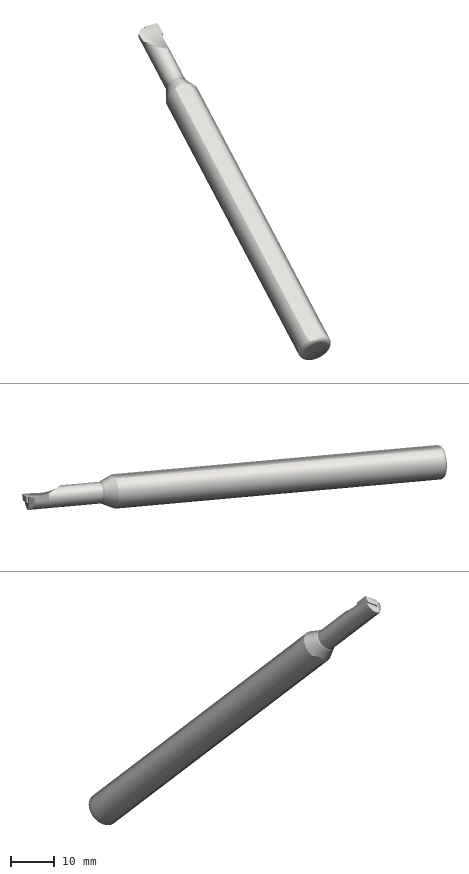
import cadquery as cq
import math


length = 100.0
shank_radius = 4.0
flat_height = 7.3
end_fillet = 1.2

neck_radius = 2.5
holder_start = 0.4
neck_end = 17.9
cone_start = 18.2
cone_start_radius = 2.7
shank_start = 21.1

head_end = 4.8
nose_chamfer = 1.0

rake_angle = 7.5
rake_height = 0.75
ramp_start = 3.0
ramp_radius = 6.5
ramp_yaw = 32.0
ramp_sweep = 60.0
cut_size = 20.0

insert_thickness = 1.5
insert_bottom = rake_height - insert_thickness
insert_outer_y = 2.9
insert_top_length = 3.3
insert_inner_length = 3.7
insert_front_y = -0.5
insert_inner_y = -0.9
insert_relief = 0.5


def lean(body):
    """Tilt a body about the bar axis by the rake angle."""
    return body.rotate((0, 0, 0), (1, 0, 0), -rake_angle)


def make_blank():
    """Turned neck, cone and shank with a rounded rear end."""
    rounding_mid = end_fillet * math.sqrt(0.5)
    return (
        cq.Workplane("XY")
        .moveTo(holder_start, 0)
        .lineTo(holder_start, neck_radius)
        .lineTo(neck_end, neck_radius)
        .lineTo(cone_start, cone_start_radius)
        .lineTo(shank_start, shank_radius)
        .lineTo(length - end_fillet, shank_radius)
        .threePointArc(
            (length - end_fillet + rounding_mid, shank_radius - end_fillet + rounding_mid),
            (length, shank_radius - end_fillet),
        )
        .lineTo(length, 0)
        .close()
        .revolve(360, (0, 0, 0), (1, 0, 0))
    )


def make_flats_envelope():
    """Slab whose top and bottom faces leave the shank flats."""
    return cq.Workplane("XY").box(2 * length, 2 * shank_radius, flat_height)


def make_head_side():
    """Block that squares the upper -Y side of the head."""
    return cq.Workplane("XY").box(
        head_end - holder_start, neck_radius, neck_radius, centered=False
    ).translate((holder_start, -neck_radius, 0))


def make_nose_cut():
    """45 degree prism that bevels the front -Y corner."""
    return (
        cq.Workplane("XY")
        .moveTo(holder_start, -neck_radius)
        .lineTo(holder_start + nose_chamfer, -neck_radius)
        .lineTo(holder_start, -neck_radius + nose_chamfer)
        .close()
        .extrude(neck_radius, both=True)
    )


def make_chip_cut():
    """Material above the flat chip face and the concave ramp behind it."""
    flat_end = ramp_start * math.cos(math.radians(ramp_yaw))

    def ramp_point(degrees):
        angle = math.radians(degrees)
        x = flat_end + ramp_radius * math.sin(angle)
        z = rake_height + ramp_radius * (1 - math.cos(angle))
        return x, z

    end_point = ramp_point(ramp_sweep)
    cut = (
        cq.Workplane("XZ")
        .moveTo(-cut_size, rake_height)
        .lineTo(flat_end, rake_height)
        .threePointArc(ramp_point(ramp_sweep / 2), end_point)
        .lineTo(-cut_size, end_point[1])
        .close()
        .extrude(cut_size, both=True)
        .rotate((0, 0, 0), (0, 0, 1), -ramp_yaw)
    )
    return lean(cut)


def make_plate(height):
    """Insert outline raised from the pocket floor, before the rake."""
    return (
        cq.Workplane("XY")
        .workplane(offset=insert_bottom)
        .polyline([
            (0, insert_outer_y),
            (insert_top_length, insert_outer_y),
            (insert_inner_length, insert_inner_y),
            (0, insert_front_y),
        ])
        .close()
        .extrude(height)
        .cut(make_clearance())
    )


def make_clearance():
    """Wedge removed below the outer edge of the insert."""
    return (
        cq.Workplane("YZ")
        .moveTo(insert_outer_y, rake_height)
        .lineTo(insert_outer_y, insert_bottom)
        .lineTo(insert_outer_y - insert_relief, insert_bottom)
        .close()
        .extrude(insert_inner_length)
    )


def make_insert():
    """Four-sided cutting insert with clearance below its outer edge."""
    return lean(make_plate(insert_thickness))


def make_pocket():
    """Seat of the insert, open upwards through the chip ramp."""
    return lean(make_plate(cut_size))


insert = make_insert()
holder = (
    make_blank()
    .intersect(make_flats_envelope())
    .union(make_head_side())
    .cut(make_nose_cut())
    .cut(make_chip_cut())
    .cut(make_pocket())
)

result = cq.Compound.makeCompound([holder.solids().val(), insert.solids().val()])